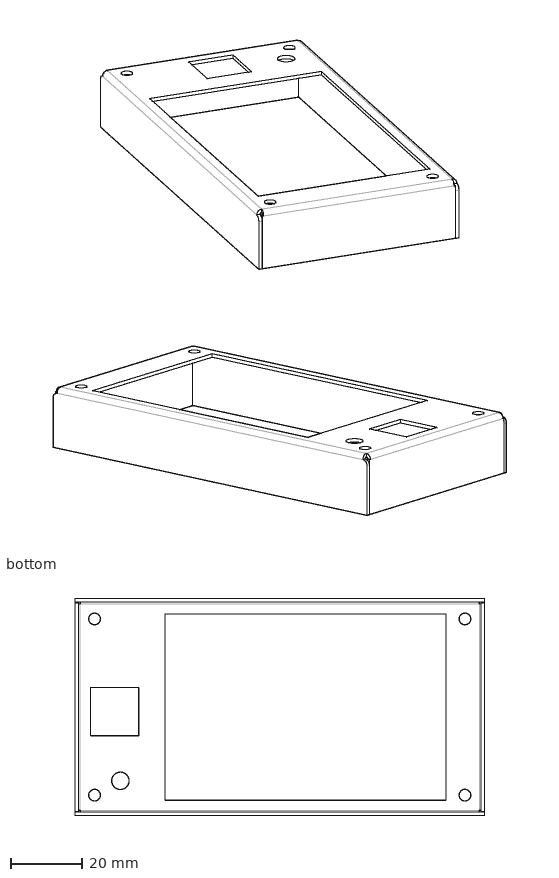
import cadquery as cq

length = 115.0
width = 61.0
height = 17.5
sheet = 1.0
bend_radius = 1.5
inner_radius = bend_radius - sheet
wall_gap = 0.1
corner_radius = bend_radius

screw_diameter = 3.2
screw_spacing_x = 104.0
screw_spacing_y = 49.5
indicator_diameter = 4.8
indicator_center = (-44.7, 20.7)
switch_size = 13.5
switch_center = (-46.3, 1.3)
window_length = 78.8
window_width = 52.2
window_center = (7.2, 0.0)

plate_length = length - 2 * bend_radius
plate_width = width - 2 * bend_radius
end_wall_width = width - 2 * (sheet + wall_gap)
bend_start = height - bend_radius


def bent_block(plane, span, block_height, depth, radius):
    """Block standing on Z = 0 with its two upper edges along the depth rounded."""
    return (
        cq.Workplane(plane)
        .center(0, block_height / 2)
        .rect(span, block_height)
        .extrude(depth / 2, both=True)
        .faces(">Z")
        .edges("|X" if plane == "YZ" else "|Y")
        .fillet(radius)
    )


def folded_channel(plane, span, depth):
    """Bent sheet with a top and two opposite walls."""
    outer = bent_block(plane, span, height, depth, bend_radius)
    inner = bent_block(plane, span - 2 * sheet, height - sheet, depth, inner_radius)
    return outer.cut(inner)


def long_wall_outline():
    """Silhouette of the long walls, with rounded corners below the bend notches."""
    wall = (
        cq.Workplane("XY")
        .box(length, width, bend_start, centered=(True, True, False))
        .faces(">Z")
        .edges("|Y")
        .fillet(corner_radius)
    )
    bend = cq.Workplane("XY").box(plate_length, width, height, centered=(True, True, False))
    return wall.union(bend)


def end_wall_outline():
    """End silhouette: walls stop clear of the long walls, bends at the plate."""
    wall = cq.Workplane("XY").box(length, end_wall_width, bend_start, centered=(True, True, False))
    bend = cq.Workplane("XY").box(length, plate_width, height, centered=(True, True, False))
    return wall.union(bend)


def plate_openings():
    """Screw holes, indicator hole, switch cutout and display window."""
    base = cq.Workplane("XY")
    screws = (
        base.rect(screw_spacing_x, screw_spacing_y, forConstruction=True)
        .vertices()
        .circle(screw_diameter / 2)
        .extrude(height)
    )
    indicator = base.center(*indicator_center).circle(indicator_diameter / 2).extrude(height)
    switch = base.center(*switch_center).rect(switch_size, switch_size).extrude(height)
    window = base.center(*window_center).rect(window_length, window_width).extrude(height)
    return screws.union(indicator).union(switch).union(window)


long_walls = folded_channel("YZ", width, length).intersect(long_wall_outline())
end_walls = folded_channel("XZ", length, width).intersect(end_wall_outline())
result = long_walls.union(end_walls).cut(plate_openings())